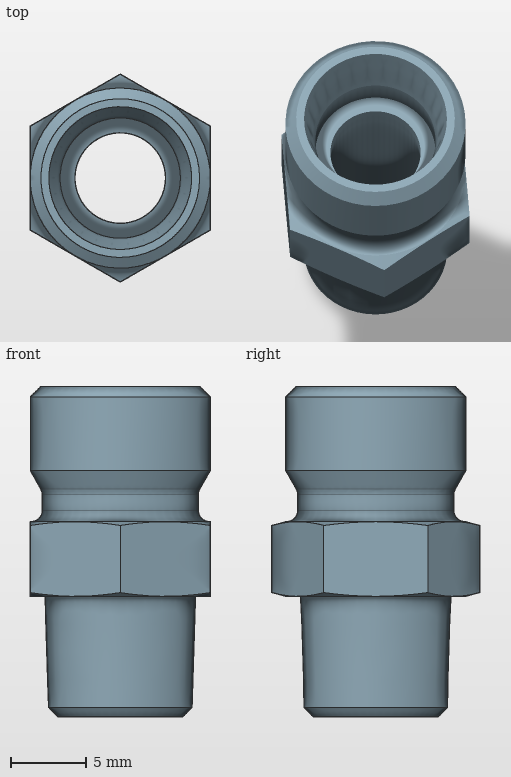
import cadquery as cq
import math

total_height = 22.0
hex_bottom = 8.0
hex_top = 13.0
neck_bottom = 13.73
neck_top = 15.0
thread_bottom = 16.4

thread_diameter = 12.0
thread_tip_diameter = 10.55
neck_diameter = 10.4
tail_root_diameter = 10.03
tail_end_diameter = 9.57
tail_tip_diameter = 8.32
bore_diameter = 6.0
socket_diameter = 8.0
socket_mouth_diameter = 9.5

thread_chamfer = 0.7
tail_chamfer = 0.64
socket_depth = 5.5
mouth_depth = (socket_mouth_diameter - socket_diameter) / 2 / math.tan(math.radians(12))

hex_across_flats = 12.0
hex_across_corners = hex_across_flats / math.cos(math.radians(30))
hex_face_diameter = 11.88
hex_chamfer_angle = 15
hex_chamfer_drop = (hex_across_corners - hex_face_diameter) / 2 * math.tan(math.radians(hex_chamfer_angle))

flare_height = neck_bottom - hex_top
flare_bottom_radius = neck_diameter / 2 + flare_height
flare_mid_offset = flare_height * math.sin(math.radians(45))


def revolve_profile(points):
    """Revolve a closed (radius, height) outline about the Z axis."""
    return cq.Workplane("XZ").polyline(points).close().revolve(360, (0, 0, 0), (0, 1, 0))


def make_hexagon():
    """Hexagon with flats facing +X and -X, its corners turned off at both ends."""
    prism = (
        cq.Workplane("XY")
        .workplane(offset=hex_bottom)
        .polygon(6, hex_across_corners)
        .extrude(hex_top - hex_bottom)
        .rotate((0, 0, 0), (0, 0, 1), 90)
    )
    turned_envelope = revolve_profile([
        (0, hex_bottom),
        (hex_face_diameter / 2, hex_bottom),
        (hex_across_corners / 2, hex_bottom + hex_chamfer_drop),
        (hex_across_corners / 2, hex_top - hex_chamfer_drop),
        (hex_face_diameter / 2, hex_top),
        (0, hex_top),
    ])
    return prism.intersect(turned_envelope)


def make_turned_body():
    """Tapered tail, flared neck and threaded head, all without the bore."""
    return (
        cq.Workplane("XZ")
        .moveTo(0, 0)
        .lineTo(tail_tip_diameter / 2, 0)
        .lineTo(tail_end_diameter / 2, tail_chamfer)
        .lineTo(tail_root_diameter / 2, hex_bottom)
        .lineTo(tail_root_diameter / 2, hex_top)
        .lineTo(flare_bottom_radius, hex_top)
        .threePointArc(
            (flare_bottom_radius - flare_mid_offset, neck_bottom - flare_mid_offset),
            (neck_diameter / 2, neck_bottom),
        )
        .lineTo(neck_diameter / 2, neck_top)
        .lineTo(thread_diameter / 2, thread_bottom)
        .lineTo(thread_diameter / 2, total_height - thread_chamfer)
        .lineTo(thread_tip_diameter / 2, total_height)
        .lineTo(0, total_height)
        .close()
        .revolve(360, (0, 0, 0), (0, 1, 0))
        .edges(cq.selectors.NearestToPointSelector((0, 0, neck_top)))
        .fillet(flare_height)
    )


def make_bore():
    """Through bore opening into a cylindrical socket with a conical mouth."""
    socket_floor = total_height - socket_depth
    return revolve_profile([
        (0, 0),
        (bore_diameter / 2, 0),
        (bore_diameter / 2, socket_floor),
        (socket_diameter / 2, socket_floor),
        (socket_diameter / 2, total_height - mouth_depth),
        (socket_mouth_diameter / 2, total_height),
        (0, total_height),
    ])


result = make_turned_body().union(make_hexagon()).cut(make_bore())